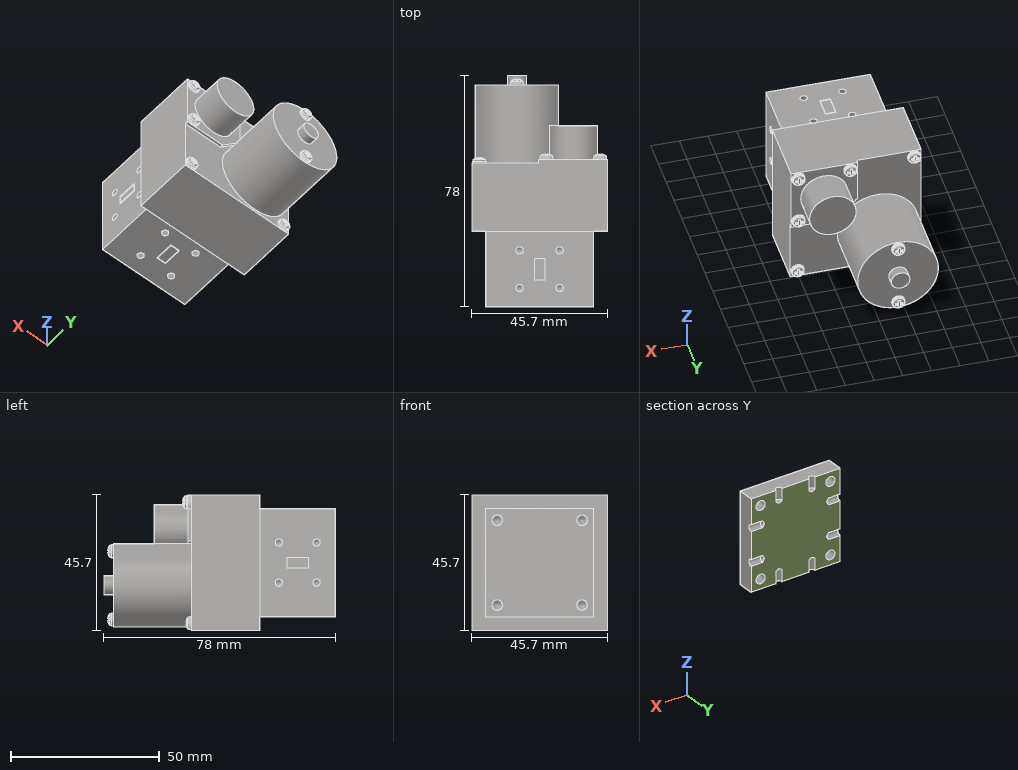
import cadquery as cq
import math

total_length = 78.0

block_side = 36.4
block_length = 25.4

housing_side = 45.7
housing_back = 48.4
housing_half = housing_side / 2

motor_diameter = 28.15
motor_back = 74.8
motor_offset = -7.65
shaft_diameter = 6.5

plate_side = 23.2
plate_thickness = 1.2
plate_back = housing_back + plate_thickness
plate_center = housing_half - plate_side / 2
plate_corner_cut = 7.7
connector_diameter = 16.2
connector_back = 61.05
connector_center = 11.4

washer_diameter = 4.45
washer_thickness = 0.55
head_diameter = 4.1
head_rim_height = 0.6
head_crown_height = 0.8
cross_length = 2.65
cross_width = 0.7
cross_depth = 0.5
screw_inset = 2.5
plate_screw_spacing = 18.1
motor_screw_radius = 11.5

drill_point_angle = 118.0
mount_hole_diameter = 3.5
mount_hole_depth = 7.8
mount_hole_spacing = 28.55
port_hole_diameter = 2.4
port_hole_depth = 4.7
port_hole_spacing_across = 13.5
port_hole_spacing_along = 12.7

window_width = 3.6
window_length = 7.1
window_depth = 0.2
port_y = block_length / 2
port_count = 4


def square_slab(side, start, end, center=0):
    """Square slab across Y from start to end, centered at (center, center) in X and Z."""
    middle = (start + end) / 2
    return cq.Workplane("XY").box(side, end - start, side).translate((center, middle, center))


def rod(diameter, start, end, center):
    """Cylinder along Y from start to end, centered at (center, center) in X and Z."""
    base = cq.Vector(center, start, center)
    return cq.Workplane(cq.Solid.makeCylinder(diameter / 2, end - start, base, cq.Vector(0, 1, 0)))


def connector_plate():
    """Square plate with the corner next to the motor cut off."""
    plate = square_slab(plate_side, housing_back, plate_back, plate_center)
    return plate.edges("|Y and <X and <Z").chamfer(plate_corner_cut)


def screw(x, seat, z):
    """Washer and domed, cross-slotted screw head standing on a face at y = seat."""
    rim_top = washer_thickness + head_rim_height
    crown_top = rim_top + head_crown_height
    head_radius = head_diameter / 2
    crown_radius = (head_radius**2 + head_crown_height**2) / (2 * head_crown_height)
    profile = (
        cq.Workplane("XY")
        .lineTo(washer_diameter / 2, 0)
        .lineTo(washer_diameter / 2, washer_thickness)
        .lineTo(head_radius, washer_thickness)
        .lineTo(head_radius, rim_top)
        .radiusArc((0, crown_top), -crown_radius)
        .close()
    )
    head = profile.revolve(360, (0, 0), (0, 1))
    for size_x, size_z in ((cross_length, cross_width), (cross_width, cross_length)):
        slot = cq.Workplane("XY").box(size_x, 2 * cross_depth, size_z)
        head = head.cut(slot.translate((0, crown_top, 0)))
    return head.translate((x, seat, z))


def drilled_hole(diameter, depth):
    """Cutter along +Y from the origin, ending in a drill point."""
    radius = diameter / 2
    point_height = radius / math.tan(math.radians(drill_point_angle / 2))
    profile = (
        cq.Workplane("XY")
        .lineTo(radius, 0)
        .lineTo(radius, depth)
        .lineTo(0, depth + point_height)
        .close()
    )
    return profile.revolve(360, (0, 0), (0, 1))


def port_cutter():
    """Window and four drilled holes of the port on the top face of the block."""
    top = block_side / 2
    cutter = cq.Workplane("XY").box(window_width, window_length, 2 * window_depth)
    cutter = cutter.translate((0, port_y, top))
    hole = drilled_hole(port_hole_diameter, port_hole_depth).rotate((0, 0, 0), (1, 0, 0), -90)
    for side_x in (-1, 1):
        for side_y in (-1, 1):
            x = side_x * port_hole_spacing_across / 2
            y = port_y + side_y * port_hole_spacing_along / 2
            cutter = cutter.add(hole.translate((x, y, top)))
    return cutter.combine()


result = square_slab(block_side, 0, block_length)
result = result.union(square_slab(housing_side, block_length, housing_back))
result = result.union(rod(motor_diameter, housing_back, motor_back, motor_offset))
result = result.union(rod(shaft_diameter, motor_back, total_length, motor_offset))
result = result.union(connector_plate())
result = result.union(rod(connector_diameter, plate_back, connector_back, connector_center))

outer = housing_half - screw_inset
inner = outer - plate_screw_spacing
housing_screws = [(-outer, outer), (-outer, -outer), (outer, -outer)]
plate_screws = [(inner, outer), (outer, outer), (outer, inner)]
motor_screws = [(motor_offset, motor_offset + side * motor_screw_radius) for side in (-1, 1)]
for seat, screws in ((housing_back, housing_screws), (plate_back, plate_screws), (motor_back, motor_screws)):
    for x, z in screws:
        result = result.union(screw(x, seat, z))

mount_hole = drilled_hole(mount_hole_diameter, mount_hole_depth)
offset = mount_hole_spacing / 2
for side_x in (-1, 1):
    for side_z in (-1, 1):
        result = result.cut(mount_hole.translate((side_x * offset, 0, side_z * offset)))

port = port_cutter()
for index in range(port_count):
    result = result.cut(port.rotate((0, 0, 0), (0, 1, 0), index * 360 / port_count))